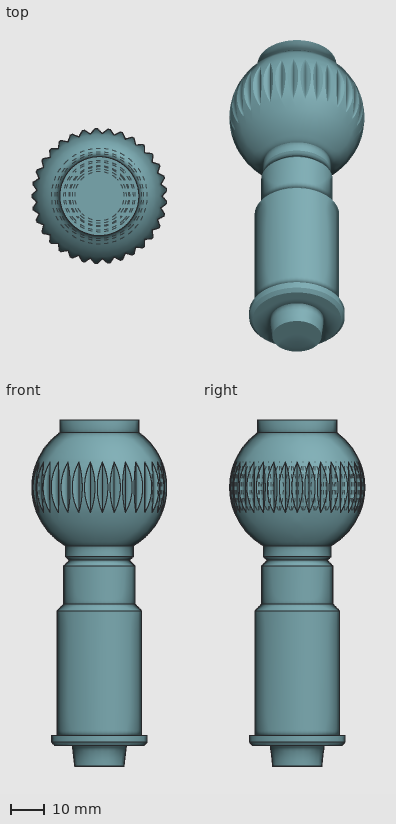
import cadquery as cq
import math

flange_bottom_z = 6.2
flange_top_z = 9.2
barrel_top_z = 48.0
joint_z = 61.1

tip_end_radius = 7.3
tip_root_radius = 8.0
flange_radius = 14.1
flange_chamfer = 1.0
barrel_radius = 12.5
collar_radius = 10.6
barrel_chamfer = barrel_radius - collar_radius
collar_chamfer = 1.8

top_z = 102.5
ball_radius = 20.0
ball_center_z = 82.5
neck_radius = 10.0
neck_chamfer = 1.0
cap_radius = 11.7
neck_top_z = ball_center_z - math.sqrt(ball_radius**2 - neck_radius**2)
cap_bottom_z = ball_center_z + math.sqrt(ball_radius**2 - cap_radius**2)

groove_count = 33
groove_angle = 98.0
groove_root_radius = 18.6
groove_reach = 2 * (ball_radius - groove_root_radius)


def make_sleeve():
    """Turned sleeve: tapered tip, flange, barrel and narrower collar."""
    return (
        cq.Workplane("XZ")
        .moveTo(0, 0)
        .lineTo(tip_end_radius, 0)
        .lineTo(tip_root_radius, flange_bottom_z)
        .lineTo(flange_radius - flange_chamfer, flange_bottom_z)
        .lineTo(flange_radius, flange_bottom_z + flange_chamfer)
        .lineTo(flange_radius, flange_top_z)
        .lineTo(barrel_radius, flange_top_z)
        .lineTo(barrel_radius, barrel_top_z - barrel_chamfer)
        .lineTo(collar_radius, barrel_top_z)
        .lineTo(collar_radius, joint_z - collar_chamfer)
        .lineTo(collar_radius - collar_chamfer, joint_z)
        .lineTo(0, joint_z)
        .close()
        .revolve(360, (0, 0), (0, 1))
    )


def make_groove_cutters():
    """Vertical V-shaped prisms, one per groove, with the first groove on +X."""
    half_width = groove_reach * math.tan(math.radians(groove_angle / 2))
    outer_radius = groove_root_radius + groove_reach
    cutter = (
        cq.Workplane("XY")
        .workplane(offset=neck_top_z)
        .moveTo(groove_root_radius, 0)
        .lineTo(outer_radius, half_width)
        .lineTo(outer_radius, -half_width)
        .close()
        .extrude(cap_bottom_z - neck_top_z)
    )
    pitch_angle = 360 / groove_count
    return [cutter.rotate((0, 0, 0), (0, 0, 1), i * pitch_angle) for i in range(groove_count)]


def make_knob():
    """Ball with a chamfered neck below, a flat cap on top and grip grooves at the equator."""
    knob = (
        cq.Workplane("XZ")
        .moveTo(0, joint_z)
        .lineTo(neck_radius - neck_chamfer, joint_z)
        .lineTo(neck_radius, joint_z + neck_chamfer)
        .lineTo(neck_radius, neck_top_z)
        .threePointArc((ball_radius, ball_center_z), (cap_radius, cap_bottom_z))
        .lineTo(cap_radius, top_z)
        .lineTo(0, top_z)
        .close()
        .revolve(360, (0, 0), (0, 1))
    )
    for cutter in make_groove_cutters():
        knob = knob.cut(cutter)
    return knob


sleeve = make_sleeve()
knob = make_knob()

result = cq.Compound.makeCompound([sleeve.solids().val(), knob.solids().val()])